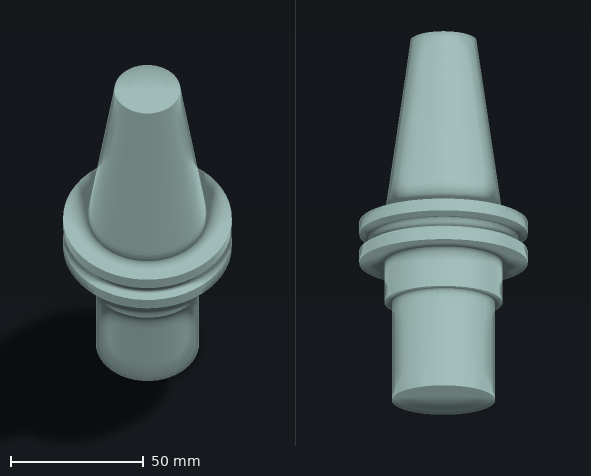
import cadquery as cq

nose_diameter = 39.0
collar_diameter = 44.5
flange_diameter = 63.5
groove_diameter = 56.4
taper_tip_diameter = 24.9
ledge_diameter = 58.5

total_length = 141.2
nose_length = 38.3
collar_length = 15.5
flange_width = 16.0
land_length = 3.1
rim_width = 4.7
groove_wall_rise = 1.4

collar_base = nose_length
flange_base = collar_base + collar_length
flange_top = flange_base + flange_width
taper_base = flange_top + land_length

groove_bottom = flange_base + rim_width
groove_top = flange_top - rim_width

half_section = [
    (0, 0),
    (nose_diameter / 2, 0),
    (nose_diameter / 2, collar_base),
    (collar_diameter / 2, collar_base),
    (collar_diameter / 2, flange_base),
    (flange_diameter / 2, flange_base),
    (flange_diameter / 2, groove_bottom),
    (ledge_diameter / 2, groove_bottom + groove_wall_rise),
    (groove_diameter / 2, groove_bottom + groove_wall_rise),
    (groove_diameter / 2, groove_top - groove_wall_rise),
    (ledge_diameter / 2, groove_top - groove_wall_rise),
    (flange_diameter / 2, groove_top),
    (flange_diameter / 2, flange_top),
    (collar_diameter / 2, flange_top),
    (collar_diameter / 2, taper_base),
    (taper_tip_diameter / 2, total_length),
    (0, total_length),
]

result = cq.Workplane("XZ").polyline(half_section).close().revolve(360, (0, 0, 0), (0, 1, 0))